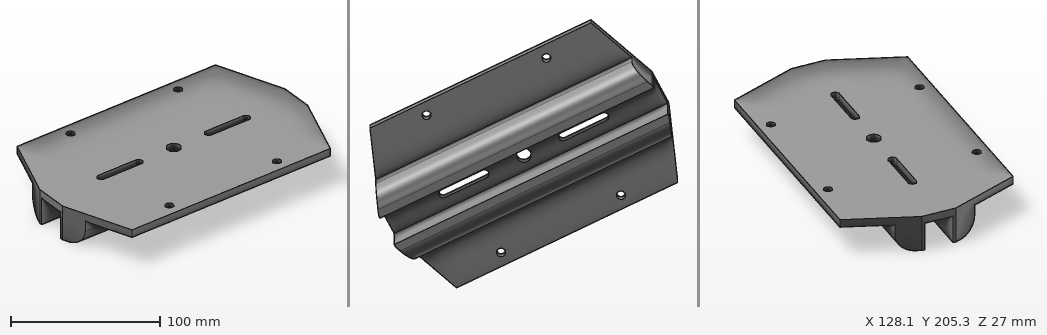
import cadquery as cq

plate_width = 128.07
plate_length = 205.28
plate_thickness = 6.0
side_edge_length = 166.06
end_edge_length = 25.25

rail_height = 21.0
rail_outer_span = 59.0
rail_gap = 21.0
rail_round_radius = 13.0

center_hole_diameter = 10.0
mount_hole_diameter = 6.0
mount_spacing_x = 110.0
mount_spacing_y = 90.0
slot_width = 6.0
slot_length = 37.0
slot_spacing_y = mount_spacing_y


def octagon_prism(bottom_z, height):
    """Upright prism with the plate's octagonal outline."""
    half_width = plate_width / 2
    half_length = plate_length / 2
    half_side = side_edge_length / 2
    half_end = end_edge_length / 2
    outline = [
        (half_width, -half_side),
        (half_width, half_side),
        (half_end, half_length),
        (-half_end, half_length),
        (-half_width, half_side),
        (-half_width, -half_side),
        (-half_end, -half_length),
        (half_end, -half_length),
    ]
    return cq.Workplane("XY").workplane(offset=bottom_z).polyline(outline).close().extrude(height)


def rail(side):
    """Rail on the +X (side = 1) or -X (side = -1) half, its outer lower edge rounded."""
    outer_face = ">X" if side > 0 else "<X"
    width = (rail_outer_span - rail_gap) / 2
    center_x = side * (rail_outer_span + rail_gap) / 4
    bar = (
        cq.Workplane("XY")
        .box(width, plate_length, rail_height, centered=(True, True, False))
        .translate((center_x, 0, -rail_height))
    )
    rounded = bar.faces(outer_face).edges("<Z").fillet(rail_round_radius)
    return rounded.intersect(octagon_prism(-rail_height, rail_height))


def round_holes(centers, diameter):
    """Cutters for round holes through the plate."""
    return cq.Workplane("XY").pushPoints(centers).circle(diameter / 2).extrude(plate_thickness)


def slots():
    """Cutters for the two round-ended slots along Y."""
    centers = [(0, slot_spacing_y / 2), (0, -slot_spacing_y / 2)]
    slot_direction = 90
    return (
        cq.Workplane("XY")
        .pushPoints(centers)
        .slot2D(slot_length, slot_width, slot_direction)
        .extrude(plate_thickness)
    )


mount_centers = [
    (side_x * mount_spacing_x / 2, side_y * mount_spacing_y / 2)
    for side_x in (-1, 1)
    for side_y in (-1, 1)
]

plate = octagon_prism(0, plate_thickness)
plate = plate.cut(round_holes([(0, 0)], center_hole_diameter))
plate = plate.cut(round_holes(mount_centers, mount_hole_diameter))
plate = plate.cut(slots())

result = plate.union(rail(1)).union(rail(-1))